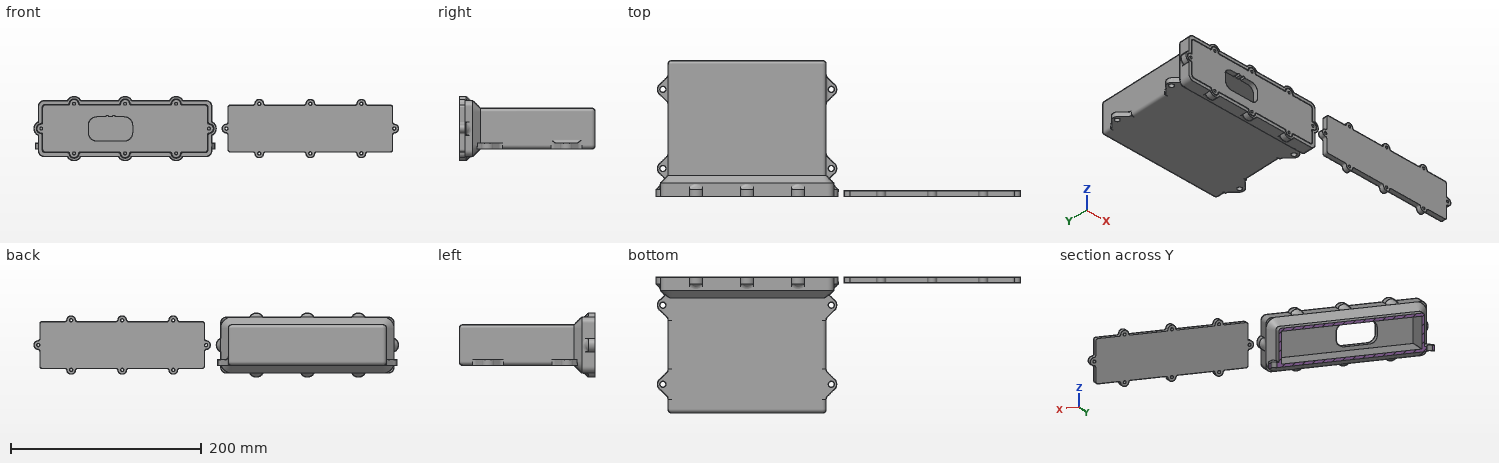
import cadquery as cq
import math


PLATE_LENGTH = 173.0
PLATE_HEIGHT = 49.5
PLATE_THICKNESS = 6.0
PLATE_CORNER = 2.5
LUG_RADIUS = 4.5
LUG_BLEND = 2.0
LUG_X = 88.0
LUG_Z = 26.0
LUG_PITCH = 53.5
SCREW_HOLE_DIAMETER = 3.0
COVER_SHIFT = 194.5

LUG_CENTRES = [(column * LUG_PITCH, side * LUG_Z) for column in (-1, 0, 1) for side in (-1, 1)]
LUG_CENTRES += [(-LUG_X, 0), (LUG_X, 0)]

WINDOW_LENGTH = 46.7
WINDOW_HEIGHT = 25.5
WINDOW_CORNER = 9.2
WINDOW_X = -15.5
WINDOW_Z = -0.5
NOTCH_PITCH = 7.0
NOTCH_DIAMETER = 3.0

TOTAL_DEPTH = 143.0
RECESS_GAP = 0.57
FLANGE_LENGTH = 182.5
FLANGE_HEIGHT = 59.0
FLANGE_DEPTH = 14.0
FLANGE_CORNER = 6.5
NECK_DEPTH = 8.0
BODY_LENGTH = FLANGE_LENGTH - 2 * NECK_DEPTH
BODY_HEIGHT = FLANGE_HEIGHT - 2 * NECK_DEPTH
BODY_ROUND = 4.0
WALL = 4.0

BOSS_RADIUS = 7.5
BOSS_STRAIGHT = 7.3
BOSS_CONE = 5.7
BOSS_BLEND = 3.5
BOSS_HOLE_DEPTH = 10.0

FOOT_TIP_RADIUS = 7.3
FOOT_TIP_X = 87.0
FOOT_ROOT_WIDTH = 27.5
FOOT_PAD_WIDTH = 32.0
FOOT_THICKNESS = 6.0
FOOT_HOLE_DIAMETER = 6.0
FOOT_HOLE_X = 88.5
FOOT_FRONT_Y = 29.5
FOOT_REAR_Y = 112.5
FOOT_BLEND = 4.5
FOOT_TOP_BLEND = 3.5
WALL_X = BODY_LENGTH / 2
UNDERSIDE_Z = -BODY_HEIGHT / 2

TOLERANCE = 0.2


def slab(length, height, corner, y, depth):
    """Rounded rectangular block centred on X = 0, Z = 0, starting at y and running to +Y."""
    block = cq.Workplane("XY").box(length, depth, height).edges("|Y").fillet(corner)
    return block.translate((0, y + depth / 2, 0))


def front_discs(points, radius, depth):
    """Discs at (x, z) points, from Y = 0 back to depth."""
    return cq.Workplane("XZ").pushPoints(points).circle(radius).extrude(-depth)


def near_edges(solid, direction, points, reach):
    """Edges along a direction whose centre lies within reach of one of the points."""
    def close(edge):
        centre = edge.Center()
        return any((centre - cq.Vector(*point)).Length < reach for point in points)
    return solid.newObject([edge for edge in solid.edges(direction).vals() if close(edge)])


def plate_blank(gap):
    """Plate outline with its eight blended lugs, grown outward by gap."""
    length = PLATE_LENGTH + 2 * gap
    height = PLATE_HEIGHT + 2 * gap
    radius = LUG_RADIUS + gap
    blank = slab(length, height, PLATE_CORNER + gap, 0, PLATE_THICKNESS)
    blank = blank.union(front_discs(LUG_CENTRES, radius, PLATE_THICKNESS))
    half_root_x = math.sqrt(radius ** 2 - (LUG_Z - height / 2) ** 2)
    half_root_z = math.sqrt(radius ** 2 - (LUG_X - length / 2) ** 2)
    mid_y = PLATE_THICKNESS / 2
    roots = []
    for end in (-1, 1):
        for side in (-1, 1):
            roots.append((end * length / 2, mid_y, side * half_root_z))
            for column in (-1, 0, 1):
                roots.append((column * LUG_PITCH + end * half_root_x, mid_y, side * height / 2))
    return near_edges(blank, "|Y", roots, TOLERANCE).fillet(LUG_BLEND)


def make_plate():
    holes = front_discs(LUG_CENTRES, SCREW_HOLE_DIAMETER / 2, PLATE_THICKNESS)
    return plate_blank(0).cut(holes)


def make_front_plate():
    window = slab(WINDOW_LENGTH, WINDOW_HEIGHT, WINDOW_CORNER, 0, PLATE_THICKNESS)
    window = window.translate((WINDOW_X, 0, WINDOW_Z))
    notch_z = WINDOW_Z + WINDOW_HEIGHT / 2
    notch_points = [(WINDOW_X + side * NOTCH_PITCH / 2, notch_z) for side in (-1, 1)]
    notches = front_discs(notch_points, NOTCH_DIAMETER / 2, PLATE_THICKNESS)
    return make_plate().cut(window).cut(notches)


def make_shell_outside():
    """Rounded box, 45 degree neck and front flange."""
    body = cq.Workplane("XY").box(BODY_LENGTH, TOTAL_DEPTH, BODY_HEIGHT)
    body = body.translate((0, TOTAL_DEPTH / 2, 0)).edges("not(<Y)").fillet(BODY_ROUND)
    neck = (
        cq.Workplane("XZ", origin=(0, FLANGE_DEPTH + NECK_DEPTH, 0))
        .sketch().rect(BODY_LENGTH, BODY_HEIGHT).vertices().fillet(BODY_ROUND).finalize()
        .extrude(NECK_DEPTH, taper=-45)
    )
    flange = slab(FLANGE_LENGTH, FLANGE_HEIGHT, FLANGE_CORNER, 0, FLANGE_DEPTH)
    return body.union(neck).union(flange)


def add_bosses(housing):
    """Cylinders ending in a 45 degree cone that is blended into the flange."""
    cone_end = BOSS_STRAIGHT + BOSS_CONE
    boss = (
        cq.Workplane("XY")
        .lineTo(BOSS_RADIUS, 0)
        .lineTo(BOSS_RADIUS, BOSS_STRAIGHT)
        .lineTo(BOSS_RADIUS - BOSS_CONE, cone_end)
        .lineTo(0, cone_end)
        .close()
        .revolve(360, (0, 0, 0), (0, 1, 0))
    )
    for x, z in LUG_CENTRES:
        housing = housing.union(boss.translate((x, 0, z)))

    cone_zone = cq.selectors.BoxSelector(
        (-FLANGE_LENGTH, BOSS_STRAIGHT - TOLERANCE, -FLANGE_HEIGHT),
        (FLANGE_LENGTH, FLANGE_DEPTH - TOLERANCE, FLANGE_HEIGHT),
        boundingbox=True,
    )
    return housing.edges("not(%LINE or %CIRCLE)").edges(cone_zone).fillet(BOSS_BLEND)


def foot_plan(height):
    """Right foot about Y = 0: pad inside the body wall, blended 45 degree flanks and round tip."""
    half_root = FOOT_ROOT_WIDTH / 2
    flank_sum = WALL_X + half_root - FOOT_TIP_X
    shoulder_y = (flank_sum + math.sqrt(2 * FOOT_TIP_RADIUS ** 2 - flank_sum ** 2)) / 2
    shoulder_x = WALL_X + half_root - shoulder_y
    foot = (
        cq.Workplane("XY")
        .moveTo(WALL_X - BODY_ROUND, -FOOT_PAD_WIDTH / 2)
        .lineTo(WALL_X, -FOOT_PAD_WIDTH / 2)
        .lineTo(WALL_X, -half_root)
        .lineTo(shoulder_x, -shoulder_y)
        .threePointArc((FOOT_TIP_X + FOOT_TIP_RADIUS, 0), (shoulder_x, shoulder_y))
        .lineTo(WALL_X, half_root)
        .lineTo(WALL_X, FOOT_PAD_WIDTH / 2)
        .lineTo(WALL_X - BODY_ROUND, FOOT_PAD_WIDTH / 2)
        .close()
        .extrude(height)
    )
    roots = [(WALL_X, side * half_root, height / 2) for side in (-1, 1)]
    foot = near_edges(foot, "|Z", roots, TOLERANCE).fillet(FOOT_BLEND)
    return foot.translate((0, 0, UNDERSIDE_Z))


def foot_top_blend():
    """Concave strip between the top of the right foot and the body side."""
    strip = (
        cq.Workplane("XZ", origin=(WALL_X, FOOT_PAD_WIDTH / 2, UNDERSIDE_Z + FOOT_THICKNESS))
        .lineTo(FOOT_TOP_BLEND, 0)
        .radiusArc((0, FOOT_TOP_BLEND), FOOT_TOP_BLEND)
        .close()
        .extrude(FOOT_PAD_WIDTH)
    )
    return strip.intersect(foot_plan(FOOT_THICKNESS + FOOT_TOP_BLEND))


def add_feet(housing):
    """Four drilled feet, flush with the underside."""
    hole = cq.Workplane("XY", origin=(FOOT_HOLE_X, 0, UNDERSIDE_Z)).circle(FOOT_HOLE_DIAMETER / 2)
    hole = hole.extrude(FOOT_THICKNESS + FOOT_TOP_BLEND)
    foot = foot_plan(FOOT_THICKNESS).cut(hole)
    for y in (FOOT_FRONT_Y, FOOT_REAR_Y):
        housing = housing.union(foot.translate((0, y, 0)))
        housing = housing.union(foot.mirror("YZ").translate((0, y, 0)))
    return housing.union(foot_top_blend().cut(hole).translate((0, FOOT_REAR_Y, 0)))


def make_housing():
    housing = add_feet(add_bosses(make_shell_outside()))
    cavity = cq.Workplane("XY").box(BODY_LENGTH - 2 * WALL, TOTAL_DEPTH - WALL, BODY_HEIGHT - 2 * WALL)
    housing = housing.cut(cavity.translate((0, (TOTAL_DEPTH - WALL) / 2, 0)))
    housing = housing.cut(plate_blank(RECESS_GAP))
    return housing.cut(front_discs(LUG_CENTRES, SCREW_HOLE_DIAMETER / 2, BOSS_HOLE_DEPTH))


housing = make_housing()
front_plate = make_front_plate()
blank_cover = make_plate().translate((COVER_SHIFT, 0, 0))
result = cq.Compound.makeCompound([housing.val(), front_plate.val(), blank_cover.val()])